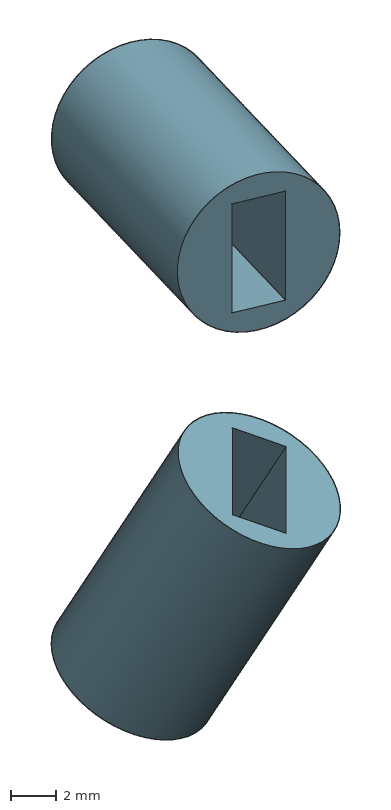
import cadquery as cq

length = 13.0
diameter = 8.0
slot_width = 2.64
slot_height = 5.59

end_face = cq.Workplane("YZ", origin=(-length / 2, 0, 0))
sleeve = end_face.circle(diameter / 2).extrude(length)
slot = end_face.rect(slot_width, slot_height).extrude(length)

result = sleeve.cut(slot)